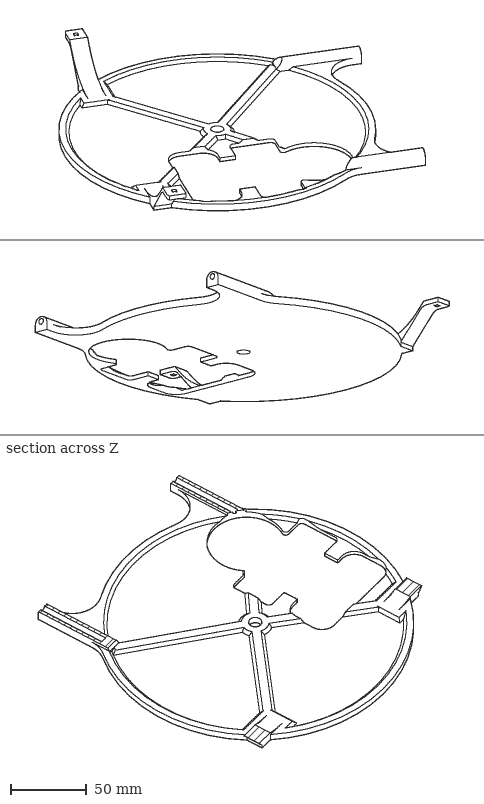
import cadquery as cq
import math

DISC_RADIUS = 104.8
DISC_HEIGHT = 5.0
FLOOR_HEIGHT = 2.9
RIM_INNER_RADIUS = 100.3
WALL_FLARE = 2.2
POCKET_DEPTH = DISC_HEIGHT - FLOOR_HEIGHT
WALL_DRAFT = math.degrees(math.atan(WALL_FLARE / POCKET_DEPTH))

HUB_RADIUS = 9.0
HUB_HOLE_RADIUS = 4.3
RIB_WIDTH = 6.0

RAIL_X = 74.0
RAIL_RADIUS = 5.0
RAIL_TIP_Y = 120.2
RAIL_INNER_Y = 61.5
RAIL_BLEND = 19.2
RAIL_BORE_RADIUS = 2.0
RAIL_BORE_HEIGHT = 6.7
RAIL_BORE_DEPTH = 50.0

ARM_Y = -63.5
ARM_WIDTH = 12.5
ARM_TIP_X = 120.0
ARM_TOP = 27.3
ARM_KNEE_X = 107.5
ARM_ROOT_X = 65.5
ARM_BASE_X = 87.5
ARM_BASE_HEIGHT = 2.9
ARM_SLOPE = math.radians(48)
TIP_THICKNESS = 3.0
UNDERSIDE_BLEND = 7.2
TIP_HOLE_SIDE = 2.9
TIP_ROUND_RADIUS = 5.8
TIP_ROUND_LENGTH = 3.4

PAD_MARGIN_Y = 4.3
PAD_MARGIN_X = 5.8
PAD_WIDTH = ARM_WIDTH + 2 * PAD_MARGIN_Y
PAD_INNER_X = ARM_ROOT_X - PAD_MARGIN_X
FRONT_RIB_END = (61.2, -55.0)

OPENING_X = 57.8
LOBE_Y = 49.7
LOBE_RADIUS = 26.1
MIDDLE_HALF_WIDTH = 38.6
MIDDLE_TOP = 33.3
MIDDLE_BOTTOM = 2.2
MIDDLE_CORNER = 3.0
NECK_CORNER = 2.5
WAIST_HALF_WIDTH = 22.5
LOWER_HALF_WIDTH = 37.5
LOWER_TOP = -8.6
LOWER_BOTTOM = -42.5
LOWER_CORNER = 10.0


def both_sides(shape):
    """Join a shape with its mirror image across the YZ plane."""
    return shape.union(shape.mirror("YZ"))


def box_between(x0, x1, y0, y1, z0, z1):
    return cq.Workplane("XY").box(x1 - x0, y1 - y0, z1 - z0, centered=False).translate((x0, y0, z0))


def drafted(outline):
    """Raise a floor outline to the disc's top face with sloping walls."""
    return outline.extrude(POCKET_DEPTH, taper=WALL_DRAFT)


def floor_plane():
    return cq.Workplane("XY").workplane(offset=FLOOR_HEIGHT)


def rib(end_x, end_y):
    """Rib from the hub centre to the given point."""
    length = math.hypot(end_x, end_y)
    floor_width = RIB_WIDTH + 2 * WALL_FLARE
    outline = floor_plane().center(length / 2, 0).rect(length + 2 * WALL_FLARE, floor_width)
    angle = math.degrees(math.atan2(end_y, end_x))
    return drafted(outline).rotate((0, 0, 0), (0, 0, 1), angle)


def pad():
    """Raised pad that reaches from an arm's root out past the rim."""
    length = DISC_RADIUS - PAD_INNER_X + WALL_FLARE
    mid_x = PAD_INNER_X - WALL_FLARE + length / 2
    outline = floor_plane().center(mid_x, ARM_Y).rect(length, PAD_WIDTH + 2 * WALL_FLARE)
    return drafted(outline)


def pocket():
    """Space above the floor, between the rim, hub, ribs and pads."""
    space = floor_plane().circle(RIM_INNER_RADIUS - WALL_FLARE).extrude(POCKET_DEPTH, taper=-WALL_DRAFT)
    space = space.cut(drafted(floor_plane().circle(HUB_RADIUS + WALL_FLARE)))
    for raised in (rib(RAIL_X, RAIL_INNER_Y), rib(*FRONT_RIB_END), pad()):
        space = space.cut(both_sides(raised))
    return space


def blend_web(start_x, direction):
    """Web between a rail side and the disc, edged by an arc tangent to both."""
    centre_x = start_x + direction * RAIL_BLEND
    reach = DISC_RADIUS + RAIL_BLEND
    centre_y = math.sqrt(reach ** 2 - centre_x ** 2)
    touch_x = centre_x * DISC_RADIUS / reach
    touch_y = centre_y * DISC_RADIUS / reach
    web = box_between(min(start_x, touch_x), max(start_x, touch_x), RAIL_INNER_Y, centre_y, 0, DISC_HEIGHT)
    round_cut = cq.Workplane("XY").center(centre_x, centre_y).circle(RAIL_BLEND).extrude(DISC_HEIGHT)
    beyond_touch = (
        cq.Workplane("XY")
        .polyline([(centre_x, centre_y), (touch_x, touch_y), (touch_x, centre_y)])
        .close()
        .extrude(DISC_HEIGHT)
    )
    return web.cut(round_cut).cut(beyond_touch)


def rail():
    """Bar with a half-round top and a 45 degree slope at its inner end."""
    length = RAIL_TIP_Y - RAIL_INNER_Y
    top = DISC_HEIGHT + RAIL_RADIUS
    section = (
        cq.Workplane("XZ", origin=(RAIL_X, RAIL_TIP_Y, 0))
        .moveTo(-RAIL_RADIUS, 0)
        .lineTo(-RAIL_RADIUS, DISC_HEIGHT)
        .threePointArc((0, top), (RAIL_RADIUS, DISC_HEIGHT))
        .lineTo(RAIL_RADIUS, 0)
        .close()
    )
    end_slope = (
        cq.Workplane("YZ", origin=(RAIL_X - RAIL_RADIUS, 0, 0))
        .moveTo(RAIL_INNER_Y, DISC_HEIGHT)
        .lineTo(RAIL_INNER_Y, top)
        .lineTo(RAIL_INNER_Y + RAIL_RADIUS, top)
        .close()
        .extrude(2 * RAIL_RADIUS)
    )
    return section.extrude(length).cut(end_slope)


def rail_bore():
    bore = cq.Workplane("XZ", origin=(RAIL_X, RAIL_TIP_Y, RAIL_BORE_HEIGHT)).circle(RAIL_BORE_RADIUS)
    return bore.extrude(RAIL_BORE_DEPTH)


def rail_with_webs():
    return (
        rail()
        .union(blend_web(RAIL_X + RAIL_RADIUS, 1))
        .union(blend_web(RAIL_X - RAIL_RADIUS, -1))
    )


def arm():
    """Arm that curves up from the disc to a flat tip with a square hole."""
    slope_foot_x = ARM_KNEE_X - (ARM_TOP - DISC_HEIGHT) / math.tan(ARM_SLOPE)
    curve_radius = (slope_foot_x - ARM_ROOT_X) / math.tan(ARM_SLOPE / 2)

    def on_curve(angle):
        return (
            ARM_ROOT_X + curve_radius * math.sin(angle),
            DISC_HEIGHT + curve_radius * (1 - math.cos(angle)),
        )

    tip_bottom = ARM_TOP - TIP_THICKNESS
    bend_x = ARM_BASE_X + (tip_bottom - ARM_BASE_HEIGHT) / math.tan(ARM_SLOPE)
    blend_x = bend_x + UNDERSIDE_BLEND * math.tan(ARM_SLOPE / 2)

    def on_blend(angle):
        return (
            blend_x - UNDERSIDE_BLEND * math.sin(angle),
            tip_bottom - UNDERSIDE_BLEND * (1 - math.cos(angle)),
        )

    side_y = ARM_Y - ARM_WIDTH / 2
    body = (
        cq.Workplane("XZ", origin=(0, side_y + ARM_WIDTH, 0))
        .moveTo(ARM_ROOT_X, 0)
        .lineTo(ARM_ROOT_X, DISC_HEIGHT)
        .threePointArc(on_curve(ARM_SLOPE / 2), on_curve(ARM_SLOPE))
        .lineTo(ARM_KNEE_X, ARM_TOP)
        .lineTo(ARM_TIP_X, ARM_TOP)
        .lineTo(ARM_TIP_X, tip_bottom)
        .lineTo(blend_x, tip_bottom)
        .threePointArc(on_blend(ARM_SLOPE / 2), on_blend(ARM_SLOPE))
        .lineTo(ARM_BASE_X, ARM_BASE_HEIGHT)
        .lineTo(ARM_BASE_X, 0)
        .close()
        .extrude(ARM_WIDTH)
    )

    hole_x = (ARM_KNEE_X + ARM_TIP_X) / 2
    hole = cq.Workplane("XY").center(hole_x, ARM_Y).rect(TIP_HOLE_SIDE, TIP_HOLE_SIDE).extrude(ARM_TOP)

    round_start_x = ARM_TIP_X - TIP_ROUND_LENGTH

    def on_round(run):
        rise = TIP_ROUND_RADIUS - math.sqrt(TIP_ROUND_RADIUS ** 2 - run ** 2)
        return (round_start_x + run, side_y + rise)

    corner = (
        cq.Workplane("XY")
        .moveTo(round_start_x, side_y)
        .threePointArc(on_round(TIP_ROUND_LENGTH / 2), on_round(TIP_ROUND_LENGTH))
        .lineTo(ARM_TIP_X, side_y)
        .close()
        .extrude(ARM_TOP)
    )
    return body.cut(hole).cut(corner)


def opening():
    """Through opening: round lobe, wide middle, narrow waist, rounded lower part."""
    height = DISC_HEIGHT + RAIL_RADIUS

    def slab(half_width, y0, y1):
        return box_between(OPENING_X - half_width, OPENING_X + half_width, y0, y1, 0, height)

    lip_y = MIDDLE_TOP + NECK_CORNER
    lip_offset = math.sqrt((LOBE_RADIUS + NECK_CORNER) ** 2 - (LOBE_Y - lip_y) ** 2)
    lobe = cq.Workplane("XY").center(OPENING_X, LOBE_Y).circle(LOBE_RADIUS).extrude(height)
    touch = LOBE_RADIUS / (LOBE_RADIUS + NECK_CORNER)
    neck = (
        cq.Workplane("XY", origin=(OPENING_X, 0, 0))
        .polyline([
            (0, LOBE_Y),
            (lip_offset * touch, LOBE_Y + (lip_y - LOBE_Y) * touch),
            (lip_offset, lip_y),
            (lip_offset, MIDDLE_TOP),
            (0, MIDDLE_TOP),
        ])
        .close()
        .extrude(height)
    )
    lip = cq.Workplane("XY").center(OPENING_X + lip_offset, lip_y).circle(NECK_CORNER).extrude(height)
    half_neck = neck.cut(lip)
    whole_neck = half_neck.union(half_neck.mirror("YZ", (OPENING_X, 0, 0)))

    middle = slab(MIDDLE_HALF_WIDTH, MIDDLE_BOTTOM, MIDDLE_TOP).edges("|Z").fillet(MIDDLE_CORNER)
    waist = slab(WAIST_HALF_WIDTH, LOWER_BOTTOM, MIDDLE_TOP)
    lower = slab(LOWER_HALF_WIDTH, LOWER_BOTTOM, LOWER_TOP).edges("|Z").fillet(LOWER_CORNER)
    return lobe.union(whole_neck).union(middle).union(waist).union(lower)


disc = cq.Workplane("XY").circle(DISC_RADIUS).extrude(DISC_HEIGHT)
tray = disc.union(both_sides(arm())).cut(pocket())
tray = tray.union(both_sides(rail_with_webs()).cut(pocket().cut(both_sides(rail()))))
hub_hole = cq.Workplane("XY").circle(HUB_HOLE_RADIUS).extrude(DISC_HEIGHT)
result = tray.cut(hub_hole).cut(both_sides(rail_bore())).cut(opening())